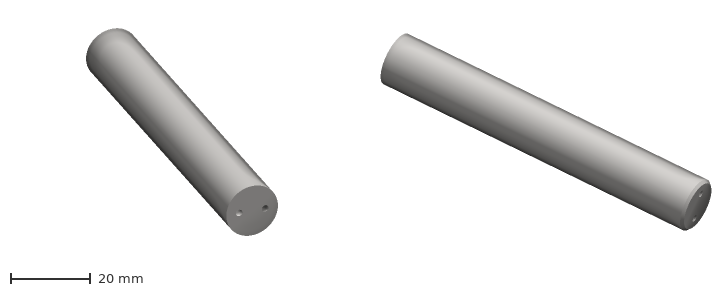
import cadquery as cq
import math

length = 90.0
diameter = 14.0
chamfer = 0.7
hole_diameter = 1.8
hole_circle_diameter = 7.1
hole_tilt = 24.0
helix_angle = 30.0

helix_pitch = math.pi * diameter / math.tan(math.radians(helix_angle))
helix_turn = 360 * length / helix_pitch


def chamfered_rod():
    """Round rod along X, centred on the origin, chamfered at the -X end."""
    rod = cq.Workplane("YZ").circle(diameter / 2).extrude(length / 2, both=True)
    return rod.faces("<X").chamfer(chamfer)


def helical_hole(side):
    """Right-hand helical through hole, starting on one side (+1 or -1) of the axis."""
    offset = side * hole_circle_diameter / 2
    tilt = math.radians(hole_tilt)
    return (
        cq.Workplane("YZ", origin=(-length / 2, 0, 0))
        .pushPoints([(-offset * math.sin(tilt), offset * math.cos(tilt))])
        .circle(hole_diameter / 2)
        .twistExtrude(length, helix_turn)
    )


result = chamfered_rod()
for side in (1, -1):
    result = result.cut(helical_hole(side))